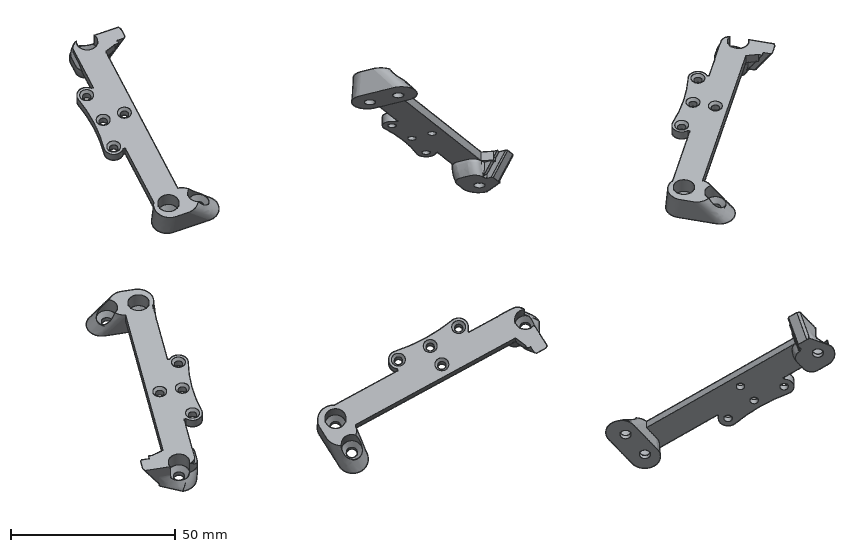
import cadquery as cq

total_length = 77.0
total_height = 8.0
plate_thickness = 3.0
plate_bottom = total_height - plate_thickness
bar_width = 8.85

screw_hole_dia = 3.4
screw_head_dia = 6.5
seat_top = 3.1
seat_depth = (screw_head_dia - screw_hole_dia) / 2
left_screw = (5.0, 5.1)
right_screw_x = 71.4
right_screws = [(right_screw_x, 4.0), (right_screw_x, 13.85)]

plate_left = 3.6
plate_corner_radius = 2.8
tab_end = 16.5
tab_corner_x = 0.9
tab_corner_y = 0.5
tab_right = 8.15
tab_step = 13.7
shoulder_right = 9.3
shoulder_y = 12.5
shoulder_foot_x = 10.7
lean_foot_y = 11.4

foot_right_bottom = 12.25
foot_front_bottom = -0.5
foot_corner_bottom = 5.4
foot_middle_z = 2.0
foot_left_middle = 1.5
foot_right_middle = 13.1
foot_front_middle = -0.85
foot_corner_middle = 4.6
foot_waist_z = 4.0
foot_right_waist = 13.5
foot_front_waist = -1.0
foot_corner_waist = 3.6
foot_taper_z = 5.4
rim_height = total_height - foot_taper_z
foot_taper_angle = 45
foot_right_radius = 3.1
foot_back = 11.55

foot_x_bottom = 71.9
foot_radius_bottom = 4.8
foot_centres_bottom = (3.3, 15.3)
foot_radius_top = 4.9
foot_x_top = total_length - foot_radius_top
foot_centres_top = (4.15, 8.15)

flange_x = 34.4
ear_offset = 10.6
ear_y = -3.0
ear_radius = 3.0
neck_half_width = 12.5
ear_run_out = 0.55
flange_front_y = -5.0
small_hole_dia = 2.55
small_sink_dia = 4.2
sink_angle = 90
small_holes = [
    (flange_x, 5.0),
    (flange_x, -2.0),
    (flange_x - ear_offset, ear_y),
    (flange_x + ear_offset, ear_y),
]


def make_bar():
    outline = (
        cq.Workplane("XY", origin=(0, 0, plate_bottom))
        .moveTo(plate_left, 0)
        .lineTo(foot_x_top, 0)
        .lineTo(foot_x_top, bar_width)
        .lineTo(shoulder_foot_x, bar_width)
        .lineTo(shoulder_right, shoulder_y)
        .lineTo(plate_left, shoulder_y)
        .close()
    )
    bar = outline.extrude(plate_thickness)
    front_left_corner = cq.selectors.NearestToPointSelector((plate_left, 0, total_height))
    return bar.edges("|Z").edges(front_left_corner).fillet(plate_corner_radius)


def make_flange():
    run_out_y = ear_y - (ear_radius**2 - ear_run_out**2) ** 0.5
    run_out_x = ear_offset - ear_run_out
    web = (
        cq.Workplane("XY", origin=(flange_x, 0, plate_bottom))
        .moveTo(-neck_half_width, bar_width / 2)
        .lineTo(-neck_half_width, ear_y)
        .lineTo(-ear_offset, ear_y)
        .lineTo(-run_out_x, run_out_y)
        .threePointArc((0, flange_front_y), (run_out_x, run_out_y))
        .lineTo(ear_offset, ear_y)
        .lineTo(neck_half_width, ear_y)
        .lineTo(neck_half_width, bar_width / 2)
        .close()
        .extrude(plate_thickness)
    )
    ears = (
        cq.Workplane("XY", origin=(flange_x, ear_y, plate_bottom))
        .pushPoints([(-ear_offset, 0), (ear_offset, 0)])
        .circle(ear_radius)
        .extrude(plate_thickness)
    )
    return web.union(ears)


def tab_wire(z, back):
    """Outline of the tab at height z, with its back edge at the given Y."""
    shift = back - tab_end
    return (
        cq.Workplane("XY", origin=(0, shift, z))
        .moveTo(plate_left, bar_width)
        .lineTo(plate_left, tab_end - tab_corner_y)
        .lineTo(plate_left + tab_corner_x, tab_end)
        .lineTo(tab_right - tab_corner_y, tab_end)
        .lineTo(tab_right, tab_end - tab_corner_y)
        .lineTo(tab_right, tab_step)
        .lineTo(shoulder_right, tab_step)
        .lineTo(shoulder_right, bar_width)
        .close()
        .val()
    )


def make_tab():
    bottom = tab_wire(0, lean_foot_y)
    top = tab_wire(total_height, tab_end)
    return cq.Workplane(cq.Solid.makeLoft([bottom, top], True))


def left_foot_outline(z, left, right, front, corner_radius):
    """Closed outline of the left foot at height z, rounded at the front, slanting at the left back."""
    return (
        cq.Workplane("XY", origin=(0, 0, z))
        .moveTo(left, front + corner_radius)
        .radiusArc((left + corner_radius, front), -corner_radius)
        .lineTo(right - foot_right_radius, front)
        .radiusArc((right, front + foot_right_radius), -foot_right_radius)
        .lineTo(right, bar_width - foot_right_radius)
        .radiusArc((right - foot_right_radius, bar_width), -foot_right_radius)
        .lineTo(plate_left, foot_back)
        .close()
    )


def rim_outline(z):
    """Limit of the left foot's front and right rims; it passes well clear of the left and back walls."""
    clear_left = plate_left - 2 * rim_height
    clear_back = foot_back + 2 * rim_height
    return (
        cq.Workplane("XY", origin=(0, 0, z))
        .moveTo(clear_left, foot_front_waist)
        .lineTo(foot_right_waist - foot_right_radius, foot_front_waist)
        .radiusArc((foot_right_waist, foot_front_waist + foot_right_radius), -foot_right_radius)
        .lineTo(foot_right_waist, clear_back)
        .lineTo(clear_left, clear_back)
        .close()
    )


def make_left_foot():
    bottom = left_foot_outline(0, 0, foot_right_bottom, foot_front_bottom, foot_corner_bottom)
    middle = left_foot_outline(
        foot_middle_z, foot_left_middle, foot_right_middle, foot_front_middle, foot_corner_middle
    )
    waist = left_foot_outline(
        foot_waist_z, plate_left, foot_right_waist, foot_front_waist, foot_corner_waist
    )
    flared = cq.Solid.makeLoft([bottom.val(), middle.val(), waist.val()], False)

    upright = waist.extrude(total_height - foot_waist_z)
    straight_rim = rim_outline(0).extrude(foot_taper_z)
    leaning_rim = rim_outline(foot_taper_z).extrude(rim_height, taper=foot_taper_angle)
    upper = upright.intersect(straight_rim.union(leaning_rim))
    return cq.Workplane(flared).union(upper)


def slot_wire(z, x, radius, centres):
    """Outline with round ends at height z, with its end centres at the two given Y."""
    front_y, back_y = centres
    return (
        cq.Workplane("XY", origin=(x, 0, z))
        .moveTo(-radius, front_y)
        .threePointArc((0, front_y - radius), (radius, front_y))
        .lineTo(radius, back_y)
        .threePointArc((0, back_y + radius), (-radius, back_y))
        .close()
        .val()
    )


def make_right_foot():
    bottom = slot_wire(0, foot_x_bottom, foot_radius_bottom, foot_centres_bottom)
    top = slot_wire(total_height, foot_x_top, foot_radius_top, foot_centres_top)
    return cq.Workplane(cq.Solid.makeLoft([bottom, top], True))


def make_lean_cutter():
    """Everything behind the leaning back face of the tab and the left foot."""
    return (
        cq.Workplane("YZ")
        .moveTo(lean_foot_y, 0)
        .lineTo(tab_end, total_height)
        .lineTo(tab_end, 0)
        .close()
        .extrude(foot_right_waist)
    )


def make_screw_seat(x, y):
    """Through hole with a conical seat and a clear bore above it for the screw head."""
    hole = cq.Workplane("XY").circle(screw_hole_dia / 2).extrude(total_height)
    seat = (
        cq.Workplane("XY", origin=(0, 0, seat_top - seat_depth))
        .circle(screw_hole_dia / 2)
        .workplane(offset=seat_depth)
        .circle(screw_head_dia / 2)
        .loft()
    )
    head_bore = (
        cq.Workplane("XY", origin=(0, 0, seat_top))
        .circle(screw_head_dia / 2)
        .extrude(total_height - seat_top)
    )
    return hole.union(seat).union(head_bore).translate((x, y, 0))


left_end = make_left_foot().cut(make_lean_cutter()).union(make_tab())
result = make_bar().union(make_flange()).union(left_end).union(make_right_foot())
for screw_x, screw_y in [left_screw] + right_screws:
    result = result.cut(make_screw_seat(screw_x, screw_y))
result = (
    result.faces(">Z")
    .workplane(origin=(0, 0, total_height))
    .pushPoints(small_holes)
    .cskHole(small_hole_dia, small_sink_dia, sink_angle, plate_thickness)
)